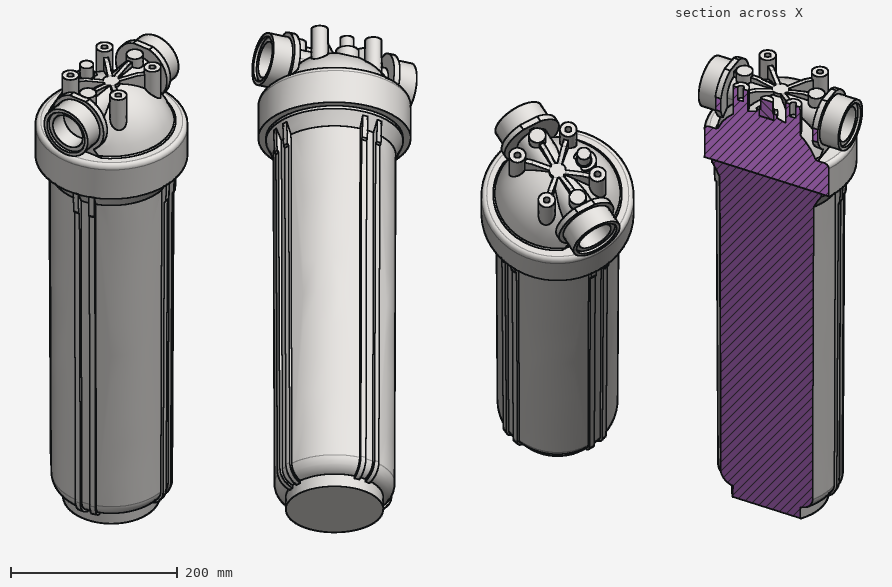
import cadquery as cq
import math

TOP_Z = 629.5
SPLIT_Z = 506.0

COLLAR_RADIUS = 183.0 / 2
COLLAR_TOP_Z = 556.0
COLLAR_FILLET = 6.0
DOME_RADIUS = 79.0
DOME_CENTER_Z = 532.5
FOOT_SIZE = 1.6
DOME_FLAT_Y = 69.0

PORT_Z = 593.5
PORT_END_Y = 188.0 / 2
PORT_RADIUS = 32.0
FLANGE_RADIUS = 38.0
FLANGE_THICKNESS = 7.5
NECK_RADIUS = 20.0
MOUTH_RADIUS = 28.0
MOUTH_DEPTH = 4.0
BORE_RADIUS = 22.0
BORE_DEPTH = 26.5
DRILL_POINT_ANGLE = 118.0

POST_RADIUS = 10.0
MOUNT_POST_OFFSET = 35.0
MOUNT_HOLE_RADIUS = 4.0
MOUNT_HOLE_DEPTH = 19.0
CENTER_POST_TOP_Z = 615.5
INLINE_POST_TOP_Z = 625.5
INLINE_POST_Y = 48.5
RIB_WIDTH = 5.5
RIB_TOP_Z = 620.5
RIB_SLOPE_END = 31.5
RIB_ROOT_Z = 585.5

BUTTON_X = -36.5
BOSS_X = -38.0
BOSS_RADIUS = 14.0
BOSS_TOP_Z = 606.0
BUTTON_SEAT_DEPTH = 9.5
BUTTON_BASE_RADIUS = 9.5
BUTTON_BASE_RISE = 1.0
BUTTON_STEM_RADIUS = 8.0
BUTTON_TOP_Z = 624.0

SUMP_RIM_RADIUS = 82.5
SUMP_RIM_Z = 502.0
SHOULDER_Z = 483.5
WALL_TOP_RADIUS = 73.5
WALL_BOTTOM_RADIUS = 72.5
ROUND_RADIUS = 20.0
ROUND_TOP_Z = 36.0
BASE_RADIUS = 58.5

SUMP_RIB_ANGLES = (3.2, 18.0)
SUMP_RIB_WIDTH = 7.0
SUMP_RIB_TOP_HEIGHT = 4.0
SUMP_RIB_BOTTOM_HEIGHT = 3.0
GUSSET_TOP_Z = 500.0
GUSSET_BOTTOM_Z = 466.5
GUSSET_BOTTOM_SLOPE = 2.5
GUSSET_TOP_RADIUS = 80.5
GUSSET_BOTTOM_RADIUS = 79.0
RIB_INNER_RADIUS = 53.5


def upright_cylinder(x, y, radius, bottom_z, top_z):
    return cq.Workplane("XY", origin=(x, y, bottom_z)).circle(radius).extrude(top_z - bottom_z)


def cylinder_along_y(radius, start_y, end_y):
    """Cylinder on the port axis, from start_y to end_y."""
    return cq.Workplane("XZ", origin=(0, start_y, PORT_Z)).circle(radius).extrude(start_y - end_y)


def make_collar():
    collar = upright_cylinder(0, 0, COLLAR_RADIUS, SPLIT_Z, COLLAR_TOP_Z)
    return collar.faces(">Z").edges().fillet(COLLAR_FILLET)


def dome_radius_at(z):
    return math.sqrt(DOME_RADIUS**2 - (z - DOME_CENTER_Z)**2)


def make_dome():
    """Spherical cap with a flared foot, cut flat on both port sides."""
    foot_top_z = COLLAR_TOP_Z + FOOT_SIZE
    foot_radius = dome_radius_at(COLLAR_TOP_Z) + FOOT_SIZE
    mid = DOME_RADIUS * math.sqrt(0.5)
    dome = (
        cq.Workplane("XZ")
        .moveTo(0, SPLIT_Z)
        .lineTo(foot_radius, SPLIT_Z)
        .lineTo(foot_radius, COLLAR_TOP_Z)
        .lineTo(dome_radius_at(foot_top_z), foot_top_z)
        .threePointArc((mid, DOME_CENTER_Z + mid), (0, DOME_CENTER_Z + DOME_RADIUS))
        .close()
        .revolve(360, (0, 0, 0), (0, 1, 0))
    )
    slab_height = TOP_Z - SPLIT_Z
    slab = cq.Workplane("XY", origin=(0, 0, SPLIT_Z)).box(
        2 * COLLAR_RADIUS, 2 * DOME_FLAT_Y, slab_height, centered=(True, True, False)
    )
    return dome.intersect(slab)


def make_neck():
    """Round-topped passage joining both ports through the dome."""
    side_height = PORT_Z - COLLAR_TOP_Z
    return (
        cq.Workplane("XZ", origin=(0, DOME_FLAT_Y, COLLAR_TOP_Z))
        .moveTo(-NECK_RADIUS, 0)
        .lineTo(NECK_RADIUS, 0)
        .lineTo(NECK_RADIUS, side_height)
        .threePointArc((0, side_height + NECK_RADIUS), (-NECK_RADIUS, side_height))
        .close()
        .extrude(2 * DOME_FLAT_Y)
    )


def make_port(side):
    """Port tube and its flange, trimmed level with the post tops; side is +1 or -1 along Y."""
    flange_inner_y = DOME_FLAT_Y - FLANGE_THICKNESS
    flange = cylinder_along_y(FLANGE_RADIUS, side * flange_inner_y, side * DOME_FLAT_Y)
    above_posts = cq.Workplane("XY", origin=(0, 0, TOP_Z)).box(
        2 * COLLAR_RADIUS, 2 * PORT_END_Y, FLANGE_RADIUS, centered=(True, True, False)
    )
    tube = cylinder_along_y(PORT_RADIUS, side * flange_inner_y, side * PORT_END_Y)
    return flange.cut(above_posts).union(tube)


def make_port_bore(side):
    """Blind drilled bore with a wider mouth."""
    mouth_y = PORT_END_Y - MOUTH_DEPTH
    bore_end_y = PORT_END_Y - BORE_DEPTH
    tip_y = bore_end_y - BORE_RADIUS / math.tan(math.radians(DRILL_POINT_ANGLE / 2))
    return (
        cq.Workplane("XY", origin=(0, 0, PORT_Z))
        .moveTo(0, side * PORT_END_Y)
        .lineTo(MOUTH_RADIUS, side * PORT_END_Y)
        .lineTo(MOUTH_RADIUS, side * mouth_y)
        .lineTo(BORE_RADIUS, side * mouth_y)
        .lineTo(BORE_RADIUS, side * bore_end_y)
        .lineTo(0, side * tip_y)
        .close()
        .revolve(360, (0, 0, 0), (0, 1, 0))
    )


def make_head_rib(angle, end_radius):
    """Radial rib that rises from the center post and then runs level to end_radius."""
    rib = (
        cq.Workplane("XZ", origin=(0, RIB_WIDTH / 2, 0))
        .moveTo(0, RIB_ROOT_Z)
        .lineTo(end_radius, RIB_ROOT_Z)
        .lineTo(end_radius, RIB_TOP_Z)
        .lineTo(RIB_SLOPE_END, RIB_TOP_Z)
        .lineTo(POST_RADIUS, CENTER_POST_TOP_Z)
        .lineTo(0, CENTER_POST_TOP_Z)
        .close()
        .extrude(RIB_WIDTH)
    )
    return rib.rotate((0, 0, 0), (0, 0, 1), angle)


def make_head():
    head = make_collar().union(make_dome()).union(make_neck())
    head = head.union(upright_cylinder(0, 0, POST_RADIUS, RIB_ROOT_Z, CENTER_POST_TOP_Z))

    for side in (1, -1):
        inline_post = upright_cylinder(
            0, side * INLINE_POST_Y, POST_RADIUS, PORT_Z, INLINE_POST_TOP_Z
        )
        head = head.union(make_port(side)).union(inline_post)
        head = head.union(make_head_rib(side * 90, DOME_FLAT_Y))

    corners = [(x * MOUNT_POST_OFFSET, y * MOUNT_POST_OFFSET) for x in (1, -1) for y in (1, -1)]
    for x, y in corners:
        head = head.union(upright_cylinder(x, y, POST_RADIUS, COLLAR_TOP_Z, TOP_Z))
        head = head.union(make_head_rib(math.degrees(math.atan2(y, x)), math.hypot(x, y)))

    head = head.union(upright_cylinder(BOSS_X, 0, BOSS_RADIUS, COLLAR_TOP_Z, BOSS_TOP_Z))
    button_seat = upright_cylinder(
        BUTTON_X, 0, BUTTON_BASE_RADIUS, BOSS_TOP_Z - BUTTON_SEAT_DEPTH, TOP_Z
    )
    head = head.cut(button_seat)

    for side in (1, -1):
        head = head.cut(make_port_bore(side))
    for x, y in corners:
        head = head.cut(upright_cylinder(x, y, MOUNT_HOLE_RADIUS, TOP_Z - MOUNT_HOLE_DEPTH, TOP_Z))
    return head


def make_button():
    base_bottom_z = BOSS_TOP_Z - BUTTON_SEAT_DEPTH
    base_top_z = BOSS_TOP_Z + BUTTON_BASE_RISE
    base = upright_cylinder(BUTTON_X, 0, BUTTON_BASE_RADIUS, base_bottom_z, base_top_z)
    stem = upright_cylinder(BUTTON_X, 0, BUTTON_STEM_RADIUS, base_bottom_z, BUTTON_TOP_Z)
    return base.union(stem)


ROUND_CENTER_RADIUS = WALL_BOTTOM_RADIUS - ROUND_RADIUS


def round_point(radius_from_axis, round_radius):
    """Point of the lower corner arc at the given distance from the sump axis."""
    reach = radius_from_axis - ROUND_CENTER_RADIUS
    return (radius_from_axis, ROUND_TOP_Z - math.sqrt(round_radius**2 - reach**2))


def round_middle(round_radius):
    """Point of the lower corner arc at 45 degrees."""
    return round_point(ROUND_CENTER_RADIUS + round_radius * math.sqrt(0.5), round_radius)


def make_sump_shell():
    return (
        cq.Workplane("XZ")
        .moveTo(0, 0)
        .lineTo(BASE_RADIUS, 0)
        .lineTo(*round_point(BASE_RADIUS, ROUND_RADIUS))
        .threePointArc(round_middle(ROUND_RADIUS), (WALL_BOTTOM_RADIUS, ROUND_TOP_Z))
        .lineTo(WALL_TOP_RADIUS, SHOULDER_Z)
        .lineTo(SUMP_RIM_RADIUS, SUMP_RIM_Z)
        .lineTo(SUMP_RIM_RADIUS, SPLIT_Z)
        .lineTo(0, SPLIT_Z)
        .close()
        .revolve(360, (0, 0, 0), (0, 1, 0))
    )


def make_sump_rib(angle):
    """Radial rib along the wall, wrapped under the round corner, with a raised gusset on top."""
    outer_round = ROUND_RADIUS + SUMP_RIB_BOTTOM_HEIGHT
    base_end = round_point(BASE_RADIUS, outer_round)
    rib = (
        cq.Workplane("XZ", origin=(0, SUMP_RIB_WIDTH / 2, 0))
        .moveTo(RIB_INNER_RADIUS, base_end[1])
        .lineTo(*base_end)
        .threePointArc(round_middle(outer_round), (ROUND_CENTER_RADIUS + outer_round, ROUND_TOP_Z))
        .lineTo(WALL_TOP_RADIUS + SUMP_RIB_TOP_HEIGHT, GUSSET_BOTTOM_Z)
        .lineTo(GUSSET_BOTTOM_RADIUS, GUSSET_BOTTOM_Z + GUSSET_BOTTOM_SLOPE)
        .lineTo(GUSSET_TOP_RADIUS, GUSSET_TOP_Z)
        .lineTo(RIB_INNER_RADIUS, GUSSET_TOP_Z)
        .close()
        .extrude(SUMP_RIB_WIDTH)
    )
    return rib.rotate((0, 0, 0), (0, 0, 1), angle)


def make_sump():
    sump = make_sump_shell()
    for quarter in range(4):
        for rib_angle in SUMP_RIB_ANGLES:
            sump = sump.union(make_sump_rib(90 * quarter + rib_angle))
    return sump


head = make_head()
button = make_button()
sump = make_sump()

result = cq.Compound.makeCompound([head.val(), button.val(), sump.val()])